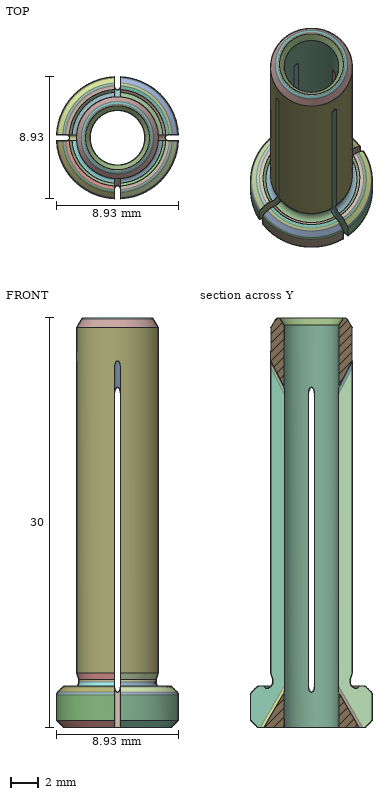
import cadquery as cq
import math

length = 30.0
shaft_radius = 3.0
bore_radius = 4.0 / 2

head_radius = 4.47
head_height = 3.05
bottom_chamfer = 0.55
top_chamfer = 0.55
shoulder_round = 0.3

neck_radius = 2.85
neck_bottom = 3.35
neck_top = 3.55
relief_top = 4.0
relief_round = 0.48
relief_outer_radius = 3.55

tip_radius = 2.58
tip_height = 0.72
tip_round = 0.25
countersink_radius = 2.35
countersink_depth = 0.55

slot_count = 4
slot_width = 0.42
slot_top_outer = 26.85
slot_top_inner = 24.9
slot_bottom_inner = 2.6
slot_bottom_radius = 3.5
slot_overrun = 0.3


def circle_edge(radius, height):
    """Select the circular edge of the given radius and height around the Z axis."""
    margin = 0.03
    return cq.selectors.BoxSelector(
        (-radius - margin, -radius - margin, height - margin),
        (radius + margin, radius + margin, height + margin),
        boundingbox=True,
    )


def make_body():
    """Revolve the half section, then round the head shoulder and the tip rim."""
    shoulder_base = head_height - top_chamfer
    shoulder_radius = head_radius - top_chamfer
    relief_centre_radius = neck_radius + relief_round
    relief_middle = (
        relief_centre_radius - relief_round * math.sqrt(0.5),
        neck_bottom - relief_round * math.sqrt(0.5),
    )
    section = (
        cq.Workplane("XZ")
        .moveTo(bore_radius, 0)
        .lineTo(head_radius - bottom_chamfer, 0)
        .lineTo(head_radius, bottom_chamfer)
        .lineTo(head_radius, shoulder_base)
        .lineTo(shoulder_radius, head_height)
        .lineTo(relief_outer_radius, head_height)
        .lineTo(relief_centre_radius, neck_bottom - relief_round)
        .threePointArc(relief_middle, (neck_radius, neck_bottom))
        .lineTo(neck_radius, neck_top)
        .lineTo(shaft_radius, relief_top)
        .lineTo(shaft_radius, length - tip_height)
        .lineTo(tip_radius, length)
        .lineTo(countersink_radius, length)
        .lineTo(bore_radius, length - countersink_depth)
        .close()
    )
    body = section.revolve(360, (0, 0, 0), (0, 1, 0))
    body = body.edges(circle_edge(head_radius, shoulder_base)).fillet(shoulder_round)
    top_edges = body.edges(circle_edge(shoulder_radius, head_height))
    outer_edge = max(top_edges.vals(), key=lambda edge: edge.radius())
    body = body.newObject([outer_edge]).fillet(shoulder_round)
    tip_edges = body.edges(circle_edge(tip_radius, length))
    outer_edge = max(tip_edges.vals(), key=lambda edge: edge.radius())
    return body.newObject([outer_edge]).fillet(tip_round)


def slot_end(inner, outer, side):
    """Ends of the axis of a round slot end, and the round bar along that axis.

    The crest of the bar passes through inner and outer, given as (x, z). The bar
    lies below the crest for side = -1 and above it for side = 1.
    """
    run = outer[0] - inner[0]
    rise = outer[1] - inner[1]
    slope = rise / run
    bar_radius = slot_width / 2
    vertical_offset = side * bar_radius * math.hypot(1, slope)
    x_start = 0
    x_end = head_radius + slot_overrun
    start, end = [
        (x, inner[1] + slope * (x - inner[0]) + vertical_offset) for x in (x_start, x_end)
    ]
    direction = cq.Vector(end[0] - start[0], 0, end[1] - start[1])
    bar = cq.Solid.makeCylinder(
        bar_radius, direction.Length, cq.Vector(start[0], 0, start[1]), direction
    )
    return start, end, bar


def make_slot():
    """Slot cutter on the +X side: straight walls with full-round sloping ends."""
    top_start, top_end, top_bar = slot_end(
        (bore_radius, slot_top_inner), (shaft_radius, slot_top_outer), -1
    )
    bottom_start, bottom_end, bottom_bar = slot_end(
        (bore_radius, slot_bottom_inner), (slot_bottom_radius, 0), 1
    )
    walls = (
        cq.Workplane("XZ")
        .polyline([bottom_start, bottom_end, top_end, top_start])
        .close()
        .extrude(slot_width / 2, both=True)
    )
    return walls.union(cq.Workplane(top_bar)).union(cq.Workplane(bottom_bar))


slot = make_slot()
result = make_body()
for index in range(slot_count):
    result = result.cut(slot.rotate((0, 0, 0), (0, 0, 1), index * 360 / slot_count))